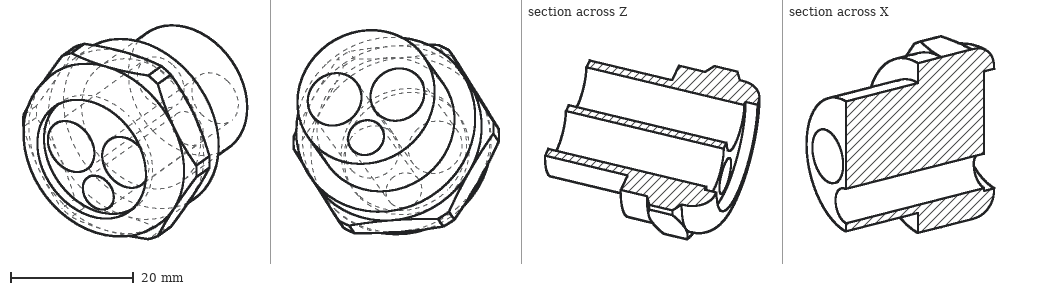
import cadquery as cq
import math

corner_diameter = 33.5
collar_diameter = 30.0
across_flats = collar_diameter
spigot_diameter = 23.0

nut_front = 4.5
nut_back = 10.5
collar_back = 15.0
total_length = 29.18

chamfer_length = 1.0
dome_radius = 4.0

recess_diameter = 21.0
recess_depth = 2.0
large_hole_diameter = 9.0
large_hole_offset_x = 5.25
small_hole_diameter = 6.0
small_hole_offset_z = -7.0


def cylinder(diameter, start, end, x=0, z=0):
    """Cylinder along +Y between two stations."""
    return (
        cq.Workplane("XZ", origin=(x, start, z))
        .circle(diameter / 2)
        .extrude(start - end)
    )


def make_nut():
    """Hexagon with flats on top and bottom, its corners turned and chamfered."""
    hexagon = (
        cq.Workplane("XZ", origin=(0, nut_front, 0))
        .polygon(6, across_flats / math.cos(math.pi / 6))
        .extrude(nut_front - nut_back)
    )
    chamfer_height = (corner_diameter - across_flats) / 2
    turned = cylinder(corner_diameter, nut_front, nut_back)
    turned = turned.faces("<Y or >Y").edges()
    envelope = turned.chamfer(chamfer_length, chamfer_height)
    return hexagon.intersect(envelope)


def make_body():
    """Domed front and collar, nut and rear spigot."""
    collar = cylinder(collar_diameter, 0, collar_back)
    collar = collar.faces("<Y").edges().fillet(dome_radius)
    spigot = cylinder(spigot_diameter, collar_back, total_length)
    return collar.union(make_nut()).union(spigot)


result = make_body().cut(cylinder(recess_diameter, 0, recess_depth))

for side in (-1, 1):
    passage = cylinder(large_hole_diameter, 0, total_length, x=side * large_hole_offset_x)
    result = result.cut(passage)

result = result.cut(cylinder(small_hole_diameter, 0, total_length, z=small_hole_offset_z))